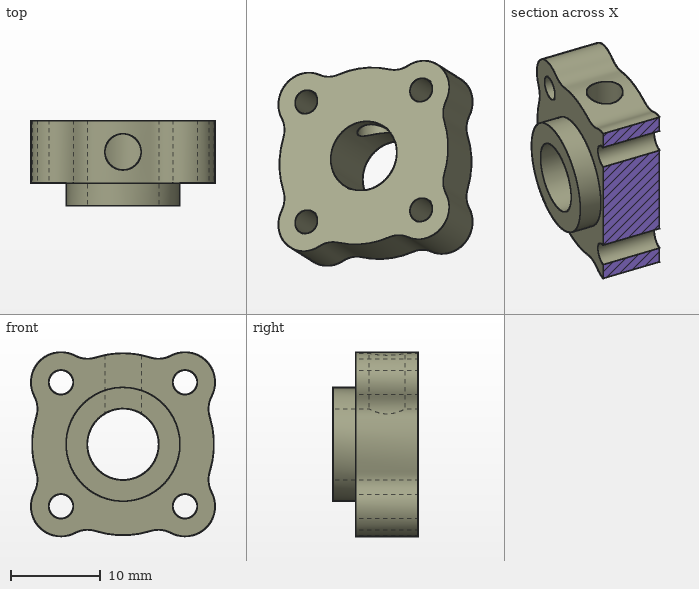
import cadquery as cq
import math

plate_thickness = 6.985
overall_depth = 9.525
hub_diameter = 12.7
bore_diameter = 7.94

bolt_circle_diameter = 19.56
overall_width = 20.57
body_radius = 10.16
blend_radius = 3.0
bolt_hole_diameter = 2.7

screw_hole_diameter = 4.04

quarter_turns = (0, 90, 180, 270)
diagonal_angle = 45
lobe_distance = bolt_circle_diameter / 2
lobe_offset = lobe_distance * math.cos(math.radians(diagonal_angle))
lobe_radius = overall_width / 2 - lobe_offset


def polar(radius, degrees):
    """Point at a radius and angle from the bore axis."""
    angle = math.radians(degrees)
    return (radius * math.cos(angle), radius * math.sin(angle))


def toward(start, target, distance):
    """Point at a distance from start, in the direction of target."""
    span = math.dist(start, target)
    return tuple(s + (t - s) * distance / span for s, t in zip(start, target))


def midpoint(start, end):
    """Point halfway between two points."""
    return tuple((s + e) / 2 for s, e in zip(start, end))


def plate_outline():
    """Closed outline of tangent arcs: body, blend, lobe, blend, on each quarter."""
    blend_distance = body_radius + blend_radius
    lobe_to_blend = lobe_radius + blend_radius
    cos_swing = (lobe_distance**2 + blend_distance**2 - lobe_to_blend**2) / (
        2 * lobe_distance * blend_distance
    )
    swing = math.degrees(math.acos(cos_swing))

    outline = cq.Workplane("XZ").moveTo(*polar(body_radius, swing - diagonal_angle))
    for turn in quarter_turns:
        diagonal = turn + diagonal_angle
        lobe = polar(lobe_distance, diagonal)
        blend_in = polar(blend_distance, diagonal - swing)
        blend_out = polar(blend_distance, diagonal + swing)

        body_end = polar(body_radius, diagonal - swing)
        lobe_start = toward(lobe, blend_in, lobe_radius)
        lobe_end = toward(lobe, blend_out, lobe_radius)
        body_start = polar(body_radius, diagonal + swing)

        chord_in = midpoint(body_end, lobe_start)
        chord_out = midpoint(lobe_end, body_start)

        outline = (
            outline.threePointArc(polar(body_radius, turn), body_end)
            .threePointArc(toward(blend_in, chord_in, blend_radius), lobe_start)
            .threePointArc(polar(lobe_distance + lobe_radius, diagonal), lobe_end)
            .threePointArc(toward(blend_out, chord_out, blend_radius), body_start)
        )
    return outline.close()


def bolt_holes():
    """Four through holes, one at each lobe center."""
    centers = [polar(lobe_distance, turn + diagonal_angle) for turn in quarter_turns]
    return (
        cq.Workplane("XZ")
        .pushPoints(centers)
        .circle(bolt_hole_diameter / 2)
        .extrude(-plate_thickness)
    )


def hub():
    """Round hub standing on the -Y face of the plate."""
    return cq.Workplane("XZ").circle(hub_diameter / 2).extrude(overall_depth - plate_thickness)


def bore():
    """Shaft bore through the hub and plate."""
    return (
        cq.Workplane("XZ", origin=(0, plate_thickness, 0))
        .circle(bore_diameter / 2)
        .extrude(overall_depth)
    )


def screw_hole():
    """Radial hole at mid thickness, from the bore axis out through the +Z edge."""
    return (
        cq.Workplane("XY", origin=(0, plate_thickness / 2, 0))
        .circle(screw_hole_diameter / 2)
        .extrude(overall_width / 2)
    )


plate = plate_outline().extrude(-plate_thickness)
result = plate.union(hub()).cut(bore()).cut(bolt_holes()).cut(screw_hole())